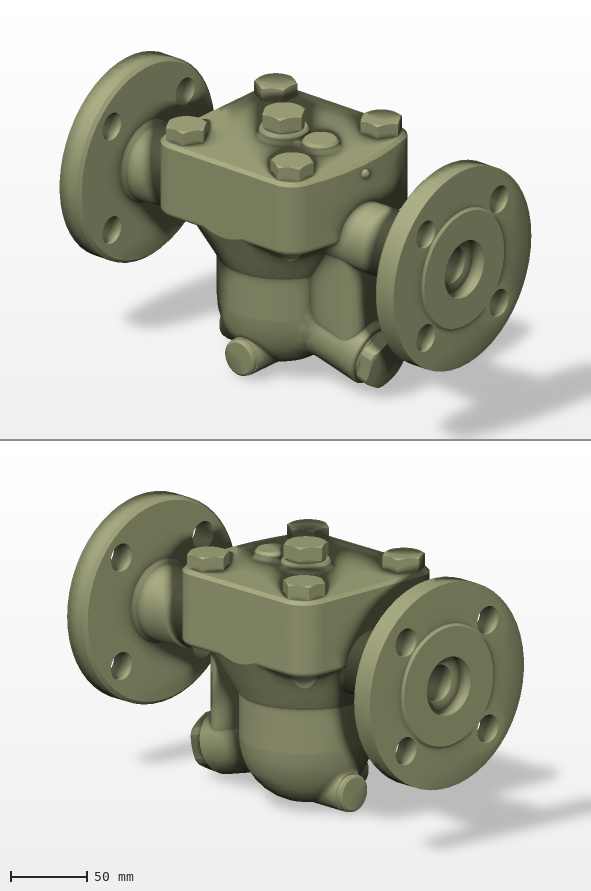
import cadquery as cq
import math


overall_length = 290.0
face_x = overall_length / 2
raised_face_height = 1.7
raised_face_d = 81.0
raised_face_root_d = 84.0
flange_d = 140.0
flange_thickness = 17.0
flange_chamfer = 2.3
bolt_circle_d = 105.0
bolt_hole_d = 19.0
pipe_r = 46.0 / 2
neck_small_r = 25.2
neck_large_r = 26.0
neck_step_x = 94.0
neck_start_x = 96.3
neck_end_x = 123.0
neck_flare = 2.3
bead_start_x = 81.2
bead_end_x = 88.5
bead_height = 0.3
socket_d = 40.0
socket_depth = 10.2
bore_d = 25.0
bore_depth = 72.5

axis_x = -10.0
bolt_offset = 45.2
corner_r = 17.0
rim_bottom_z = 0.5
joint_z = 29.5
cover_top_z = 52.5
bulge_x = 59.2
bulge_bottom_x = 58.0
cover_chamfer = 2.3
rim_fillet = 3.5

chamber_r = 44.0
sphere_z = -62.4
cone_bottom_z = -32.2
cone_angle = 30.0
shoulder_bottom_z = -18.5
shoulder_top_z = rim_bottom_z + rim_fillet
scallop_d = 19.0
scallop_bottom_z = -20.3

drain_z = -92.8
drain_reach = 46.0
drain_d = 26.0
drain_rim_d = 25.0
drain_face_d = 22.0
drain_rim_length = 4.0
drain_edge = 1.2
drain_blend_r = 4.0

branch_angle = 15.0
branch_d = 44.0
branch_length = 80.5
branch_edge = 1.0
branch_blend_r = 12.2
gasket_d = 38.0
gasket_thickness = 1.7
branch_plug_d = 40.0
branch_plug_flats = 36.5
branch_plug_height = 10.0

rib_end_x = 67.0
rib_thickness = 39.5
rib_corner_r = 12.0
rib_bottom_z = -78.3

bolt_flats = 25.0
bolt_head_height = 10.0
vent_flats = 26.0
vent_neck_d = 26.0
vent_neck_height = 1.2
vent_head_height = 10.0
fitting_root = 1.5
boss_height = 6.0
boss_flare = 3.5
boss_flare_height = 2.3
boss_edge_height = 1.88
vent_boss_d = 33.0
vent_boss_top_d = 30.7
small_boss_d = 24.0
small_boss_top_d = 21.0
small_boss_x = 21.5
bridge_top_width = 13.5
bridge_base_width = 21.0
bridge_height = boss_flare_height
rivet_d = 6.5
rivet_x = 62.5
rivet_z = 44.0
hex_chamfer_angle = 30.0


def flanged_pipe():
    """Pipe, weld bead, neck and flange of the +X end, with bores and bolt holes."""
    flange_front = face_x - raised_face_height
    flange_back = flange_front - flange_thickness
    flange_r = flange_d / 2
    solid = (
        cq.Workplane("XY")
        .moveTo(0, 0)
        .lineTo(0, pipe_r)
        .lineTo(bead_start_x, pipe_r)
        .threePointArc(((bead_start_x + bead_end_x) / 2, pipe_r + bead_height), (bead_end_x, pipe_r))
        .lineTo(neck_step_x, pipe_r)
        .lineTo(neck_start_x, neck_small_r)
        .lineTo(neck_end_x, neck_large_r)
        .lineTo(flange_back, neck_large_r + neck_flare)
        .lineTo(flange_back, flange_r - flange_chamfer)
        .lineTo(flange_back + flange_chamfer, flange_r)
        .lineTo(flange_front, flange_r)
        .lineTo(flange_front, raised_face_root_d / 2)
        .lineTo(face_x, raised_face_d / 2)
        .lineTo(face_x, 0)
        .close()
        .revolve(360, (0, 0, 0), (1, 0, 0))
    )
    face = cq.Workplane("YZ", origin=(face_x, 0, 0))
    socket = face.circle(socket_d / 2).extrude(-socket_depth)
    bore = face.circle(bore_d / 2).extrude(-bore_depth)
    holes = (
        face.polarArray(bolt_circle_d / 2, 45, 360, 4)
        .circle(bolt_hole_d / 2)
        .extrude(-raised_face_height - flange_thickness)
    )
    return solid.cut(socket).cut(bore).cut(holes)


def casing_outline(z, apex_x):
    """Rounded rectangle whose +X side is an arc through apex_x, tangent to the corner arcs."""
    left = axis_x - bolt_offset
    right = axis_x + bolt_offset
    half_y = bolt_offset + corner_r
    left_x = left - corner_r
    diagonal = corner_r * math.sqrt(0.5)
    inset = right - apex_x
    side_r = (corner_r**2 - inset**2 - bolt_offset**2) / (2 * (inset + corner_r))
    tangent_angle = math.asin(bolt_offset / (side_r - corner_r))
    mid_angle = (tangent_angle + math.pi / 2) / 2
    tangent_x = right + corner_r * math.cos(tangent_angle)
    tangent_y = bolt_offset + corner_r * math.sin(tangent_angle)
    corner_x = right + corner_r * math.cos(mid_angle)
    corner_y = bolt_offset + corner_r * math.sin(mid_angle)
    return (
        cq.Workplane("XY", origin=(0, 0, z))
        .moveTo(left, half_y)
        .lineTo(right, half_y)
        .threePointArc((corner_x, corner_y), (tangent_x, tangent_y))
        .threePointArc((apex_x, 0), (tangent_x, -tangent_y))
        .threePointArc((corner_x, -corner_y), (right, -half_y))
        .lineTo(left, -half_y)
        .threePointArc((left - diagonal, -bolt_offset - diagonal), (left_x, -bolt_offset))
        .lineTo(left_x, bolt_offset)
        .threePointArc((left - diagonal, bolt_offset + diagonal), (left, half_y))
        .close()
    )


def casing():
    """Cover with a chamfered top edge over a body rim with a rounded bottom edge."""
    cover = casing_outline(joint_z, bulge_x).extrude(cover_top_z - joint_z)
    cover = cover.faces(">Z").chamfer(cover_chamfer)
    bottom_wire = casing_outline(rim_bottom_z, bulge_bottom_x).val()
    joint_wire = casing_outline(joint_z, bulge_x).val()
    rim = cq.Workplane(cq.Solid.makeLoft([bottom_wire, joint_wire], True))
    rim = rim.faces("<Z").edges().fillet(rim_fillet)
    return cover.union(rim, clean=False)


def bolt_positions():
    """Corner positions of the cover bolts, in order around the chamber axis."""
    corners = [(1, 1), (-1, 1), (-1, -1), (1, -1)]
    return [(axis_x + sx * bolt_offset, sy * bolt_offset) for sx, sy in corners]


def cone_radius(z):
    """Radius of the chamber cone at a height."""
    return chamber_r + (z - cone_bottom_z) * math.tan(math.radians(cone_angle))


def shoulder():
    """Upper cone, trimmed to the rim outline and hollowed under each cover bolt."""
    cone = (
        cq.Workplane("XY", origin=(axis_x, 0, shoulder_bottom_z))
        .circle(cone_radius(shoulder_bottom_z))
        .workplane(offset=shoulder_top_z - shoulder_bottom_z)
        .circle(cone_radius(shoulder_top_z))
        .loft(ruled=True)
    )
    trim = casing_outline(shoulder_bottom_z, bulge_bottom_x).extrude(shoulder_top_z - shoulder_bottom_z)
    scallops = (
        cq.Workplane("XY", origin=(0, 0, scallop_bottom_z))
        .pushPoints(bolt_positions())
        .circle(scallop_d / 2)
        .extrude(rim_bottom_z - scallop_bottom_z)
    )
    return cone.intersect(trim).cut(scallops)


def chamber():
    """Cylinder with a hemispherical bottom and a conical top."""
    return (
        cq.Workplane("XZ", origin=(axis_x, 0, 0))
        .moveTo(0, shoulder_bottom_z)
        .lineTo(cone_radius(shoulder_bottom_z), shoulder_bottom_z)
        .lineTo(chamber_r, cone_bottom_z)
        .lineTo(chamber_r, sphere_z)
        .radiusArc((0, sphere_z - chamber_r), chamber_r)
        .close()
        .revolve(360, (0, 0, 0), (0, 1, 0))
    )


def drain_boss(direction):
    """Horizontal boss growing from the chamber axis along the given direction."""
    plane = cq.Plane(origin=(axis_x, 0, drain_z), xDir=(0, 0, 1), normal=direction)
    rim_start = drain_reach - drain_rim_length
    return (
        cq.Workplane(plane)
        .circle(drain_d / 2)
        .extrude(rim_start)
        .union(
            cq.Workplane(plane)
            .workplane(offset=rim_start)
            .circle(drain_rim_d / 2)
            .extrude(drain_rim_length)
            .faces(cq.DirectionMinMaxSelector(cq.Vector(*direction)))
            .chamfer(drain_edge, (drain_rim_d - drain_face_d) / 2)
        )
    )


def hex_head(plane, flats, height, top_d):
    """Hexagonal head on a plane, its top corners bevelled down from a circle of top_d."""
    corners_d = flats / math.cos(math.pi / 6)
    drop = (corners_d - top_d) / 2 * math.tan(math.radians(hex_chamfer_angle))
    blank = cq.Workplane(plane).polygon(6, corners_d).extrude(height)
    envelope = (
        cq.Workplane(plane)
        .circle(corners_d / 2)
        .extrude(height)
        .faces(cq.DirectionMinMaxSelector(plane.zDir))
        .chamfer(drop, (corners_d - top_d) / 2)
    )
    return blank.intersect(envelope)


def branch_plane(distance):
    """Plane across the branch axis at a distance from the sphere centre."""
    angle = math.radians(branch_angle)
    axis = cq.Vector(math.cos(angle), 0, -math.sin(angle))
    origin = cq.Vector(axis_x, 0, sphere_z) + axis * distance
    return cq.Plane(origin=origin, xDir=(math.sin(angle), 0, math.cos(angle)), normal=axis)


def branch_tube():
    """Inclined tube starting at the sphere centre, with a bevelled end."""
    axis = branch_plane(0).zDir
    tube = cq.Workplane(branch_plane(0)).circle(branch_d / 2).extrude(branch_length)
    return tube.faces(cq.DirectionMinMaxSelector(axis)).chamfer(branch_edge)


def branch_plug():
    """Gasket and hexagonal plug closing the branch; the hexagon corners are turned off round."""
    head_plane = branch_plane(branch_length + gasket_thickness)
    gasket = cq.Workplane(branch_plane(branch_length)).circle(gasket_d / 2).extrude(gasket_thickness)
    turned = cq.Workplane(head_plane).circle(branch_plug_d / 2).extrude(branch_plug_height)
    head = hex_head(head_plane, branch_plug_flats, branch_plug_height, branch_plug_flats)
    return gasket.union(head.intersect(turned))


def rib():
    """Upright rib with rounded outer corners."""
    length = rib_end_x - axis_x
    return (
        cq.Workplane("XY", origin=(axis_x + length / 2, 0, rib_bottom_z))
        .rect(length, rib_thickness)
        .extrude(-rib_bottom_z)
        .edges("|Z and >X")
        .fillet(rib_corner_r)
    )


def cover_boss(x, boss_d, top_d):
    """Round boss on the cover with a concave flare at its root and a bevelled top."""
    boss_r = boss_d / 2
    bow = 1 - math.sqrt(0.5)
    return (
        cq.Workplane("XZ", origin=(x, 0, cover_top_z))
        .moveTo(0, -fitting_root)
        .lineTo(boss_r + boss_flare, -fitting_root)
        .lineTo(boss_r + boss_flare, 0)
        .threePointArc((boss_r + bow * boss_flare, bow * boss_flare_height), (boss_r, boss_flare_height))
        .lineTo(boss_r, boss_height - boss_edge_height)
        .lineTo(top_d / 2, boss_height)
        .lineTo(0, boss_height)
        .close()
        .revolve(360, (0, 0, 0), (0, 1, 0))
    )


def boss_bridge():
    """Low ridge with sloping flanks joining the two cover bosses."""
    return (
        cq.Workplane("YZ", origin=(axis_x, 0, cover_top_z))
        .moveTo(-bridge_base_width / 2, -fitting_root)
        .lineTo(bridge_base_width / 2, -fitting_root)
        .lineTo(bridge_base_width / 2, 0)
        .lineTo(bridge_top_width / 2, bridge_height)
        .lineTo(-bridge_top_width / 2, bridge_height)
        .lineTo(-bridge_base_width / 2, 0)
        .close()
        .extrude(small_boss_x - axis_x)
    )


def cover_fittings():
    """Vent boss and small boss joined by the bridge."""
    vent_boss = cover_boss(axis_x, vent_boss_d, vent_boss_top_d)
    small_boss = cover_boss(small_boss_x, small_boss_d, small_boss_top_d)
    return vent_boss.union(boss_bridge()).union(small_boss)


def vent_plug():
    """Hexagonal plug on a round neck above the larger cover boss."""
    neck_z = cover_top_z + boss_height
    head_plane = cq.Plane(origin=(axis_x, 0, neck_z + vent_neck_height))
    neck = cq.Workplane("XY", origin=(axis_x, 0, neck_z)).circle(vent_neck_d / 2).extrude(vent_neck_height)
    return neck.union(hex_head(head_plane, vent_flats, vent_head_height, vent_flats))


def cover_bolts():
    """Four bolt heads, each turned a quarter turn from the one before."""
    heads = []
    for index, (x, y) in enumerate(bolt_positions()):
        turn = math.pi / 2 * index
        x_dir = (math.cos(turn), math.sin(turn), 0)
        plane = cq.Plane(origin=(x, y, cover_top_z), xDir=x_dir, normal=(0, 0, 1))
        heads.append(hex_head(plane, bolt_flats, bolt_head_height, bolt_flats))
    return heads


def rivet():
    """Small domed rivet on the curved side of the cover."""
    dome_r = rivet_d / 2
    return cq.Workplane("XY", origin=(rivet_x - dome_r, 0, rivet_z)).sphere(dome_r)


def chamber_with_branches():
    """Chamber with the strainer branch and two drain bosses; branch and inlet-side boss are blended."""
    branch_root = branch_plane(math.sqrt(chamber_r**2 - (branch_d / 2) ** 2)).origin
    drain_root = (axis_x - math.sqrt(chamber_r**2 - (drain_z - sphere_z) ** 2), 0, drain_z)
    return (
        chamber()
        .union(branch_tube())
        .edges(cq.NearestToPointSelector(branch_root.toTuple()))
        .fillet(branch_blend_r)
        .union(drain_boss((-1, 0, 0)))
        .edges(cq.NearestToPointSelector(drain_root))
        .fillet(drain_blend_r)
        .union(drain_boss((0, -1, 0)))
    )


outlet = flanged_pipe()
inlet = outlet.mirror("YZ")
pieces = [
    inlet,
    chamber_with_branches(),
    rib(),
    branch_plug(),
    casing(),
    shoulder(),
    cover_fittings(),
    vent_plug(),
    rivet(),
    *cover_bolts(),
]
result = outlet
for piece in pieces:
    result = result.union(piece, clean=False)